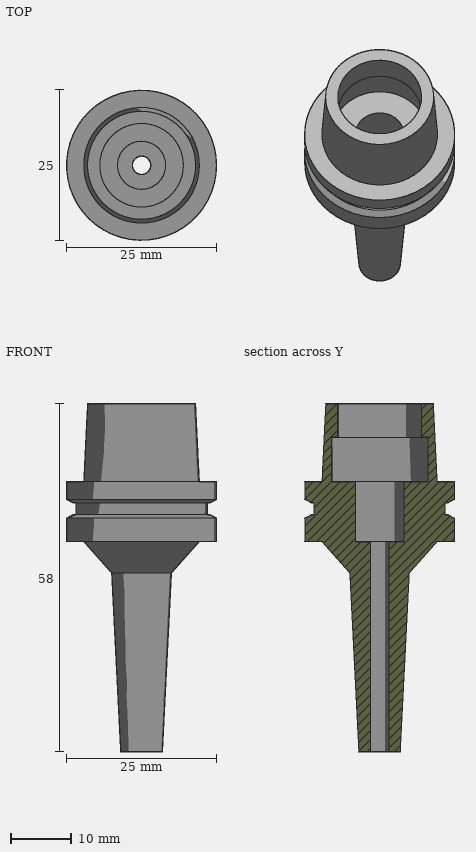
import cadquery as cq


total_height = 58.0
shank_length = 13.0
flange_height = 10.0
shoulder_height = 5.2

mouth_z = total_height
flange_top = mouth_z - shank_length
flange_bottom = flange_top - flange_height
neck_z = flange_bottom - shoulder_height

flange_diameter = 25.0
flange_radius = flange_diameter / 2
mouth_radius = 9.0
shank_base_radius = 9.6
shoulder_radius = 9.6
neck_radius = 5.0
tip_radius = 3.5

groove_radius = 10.95
ledge_radius = 11.4
groove_width = 3.15
groove_wall_height = 0.6
upper_rim_height = 2.95
groove_top = flange_top - upper_rim_height
groove_bottom = groove_top - groove_width
upper_ledge_z = groove_top - groove_wall_height
lower_ledge_z = groove_bottom + groove_wall_height

mouth_bore_radius = 6.95
lip_height = 5.6
undercut_radius = 8.0
counterbore_radius = 4.0
through_bore_radius = 1.5
lip_bottom = mouth_z - lip_height
undercut_floor = flange_top
counterbore_floor = flange_bottom


def revolve_profile(points):
    """Turn a closed (radius, height) outline around the Z axis."""
    return cq.Workplane("XZ").polyline(points).close().revolve(360, (0, 0, 0), (0, 1, 0))


def outer_body():
    """Solid nose, shoulder, flange and shank."""
    return revolve_profile([
        (0, 0),
        (tip_radius, 0),
        (neck_radius, neck_z),
        (shoulder_radius, flange_bottom),
        (flange_radius, flange_bottom),
        (flange_radius, flange_top),
        (shank_base_radius, flange_top),
        (mouth_radius, mouth_z),
        (0, mouth_z),
    ])


def gripper_groove():
    """Ring with sloping walls and ledges, cut into the flange rim."""
    return revolve_profile([
        (flange_radius, groove_top),
        (ledge_radius, upper_ledge_z),
        (groove_radius, upper_ledge_z),
        (groove_radius, lower_ledge_z),
        (ledge_radius, lower_ledge_z),
        (flange_radius, groove_bottom),
    ])


def bore(radius, bottom, top):
    """Round hole on the axis between two heights."""
    return cq.Workplane("XY").workplane(offset=bottom).circle(radius).extrude(top - bottom)


result = (
    outer_body()
    .cut(gripper_groove())
    .cut(bore(mouth_bore_radius, lip_bottom, mouth_z))
    .cut(bore(undercut_radius, undercut_floor, lip_bottom))
    .cut(bore(counterbore_radius, counterbore_floor, undercut_floor))
    .cut(bore(through_bore_radius, 0, counterbore_floor))
)